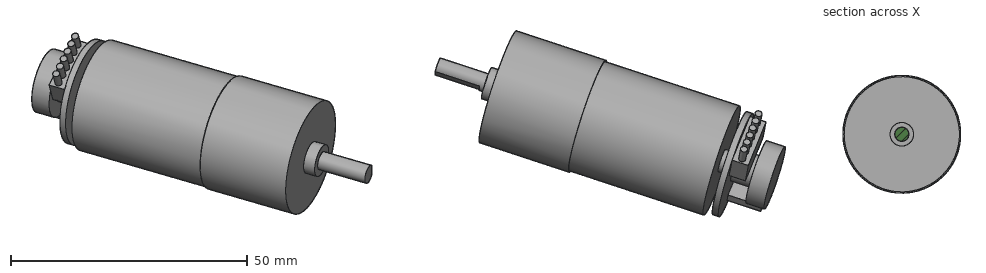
import cadquery as cq

magnet_end = 4.1
board_start = 8.7
board_end = 10.05
rear_boss_start = 10.35
can_start = 11.85
gearbox_start = 41.9
gearbox_end = 61.9
front_boss_end = 64.5
flat_start = 65.5
shaft_end = 75.5

magnet_diameter = 14.0
hub_diameter = 7.0
board_diameter = 23.0
rear_shaft_diameter = 3.0
rear_boss_diameter = 5.0
can_diameter = 24.4
gearbox_diameter = 25.0
front_boss_diameter = 7.0
shaft_diameter = 4.0

flat_offset = 1.5

encoder_angle = 20.0

connector_start = 5.05
connector_width = 12.3
connector_bottom = 4.15
connector_top = 9.75

pin_count = 6
pin_diameter = 1.5
pin_pitch = 2.0
pin_top = 13.3
pin_axis_x = 6.8

sensor_start = 1.1
sensor_width = 5.6
sensor_bottom = -9.2
sensor_top = -7.25


def disc(start, end, diameter):
    """Cylinder about the motor axis between two X stations."""
    return cq.Workplane("YZ").workplane(offset=start).circle(diameter / 2).extrude(end - start)


def board_block(start, width, bottom, top):
    """Block on the board's outer face, before turning to the encoder angle."""
    length = board_start - start
    block = cq.Workplane("XY").box(length, width, top - bottom, centered=(False, True, False))
    return block.translate((start, 0, bottom))


def make_motor():
    """Turned sections stacked from the magnet to the output shaft."""
    sections = [
        (magnet_end, board_start, hub_diameter),
        (board_start, board_end, board_diameter),
        (board_end, rear_boss_start, rear_shaft_diameter),
        (rear_boss_start, can_start, rear_boss_diameter),
        (can_start, gearbox_start, can_diameter),
        (gearbox_start, gearbox_end, gearbox_diameter),
        (gearbox_end, front_boss_end, front_boss_diameter),
    ]
    motor = disc(0, magnet_end, magnet_diameter)
    for start, end, diameter in sections:
        motor = motor.union(disc(start, end, diameter))
    return motor


def make_output_shaft():
    """Output shaft with a D-cut reaching its free end."""
    shaft = disc(front_boss_end, shaft_end, shaft_diameter)
    flat_cut = cq.Workplane("XY").box(
        shaft_end - flat_start, shaft_diameter, shaft_diameter, centered=(False, False, True)
    )
    return shaft.cut(flat_cut.translate((flat_start, flat_offset, 0)))


def make_encoder():
    """Connector, its row of pins and the sensor block, turned together."""
    encoder = board_block(connector_start, connector_width, connector_bottom, connector_top)
    pins = (
        cq.Workplane("XY", origin=(pin_axis_x, 0, connector_top))
        .rarray(0.75, pin_pitch, 1, pin_count)
        .circle(pin_diameter / 2)
        .extrude(pin_top - connector_top)
    )
    sensor = board_block(sensor_start, sensor_width, sensor_bottom, sensor_top)
    encoder = encoder.union(pins).union(sensor)
    return encoder.rotate((0, 0, 0), (1, 0, 0), encoder_angle)


result = make_motor().union(make_output_shaft()).union(make_encoder())